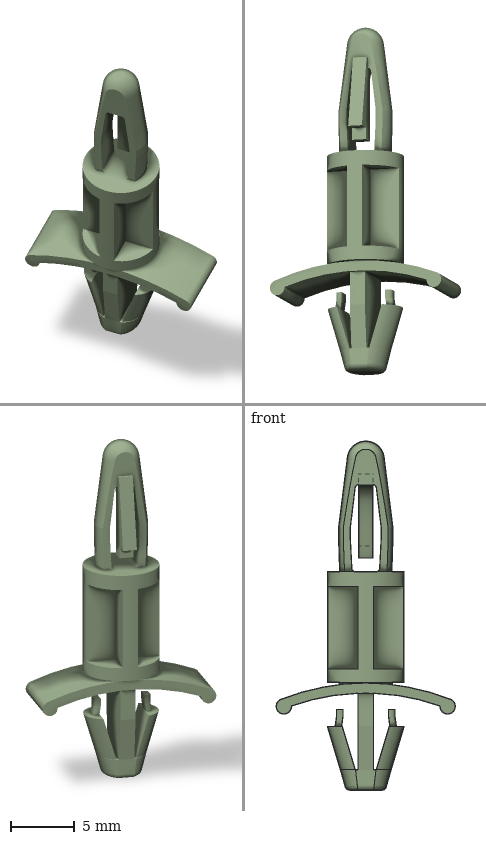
import cadquery as cq
import math

TOTAL_HEIGHT = 27.3
BODY_BOTTOM = 8.44
BODY_TOP = 17.1

BODY_RADIUS = 3.0
UPPER_FLANGE = 1.17
LOWER_FLANGE = 1.06
WEB_THICKNESS = 1.23

POST_THICKNESS = 2.4
POST_FOOT_RADIUS = 2.05
POST_WIDE_RADIUS = 2.13
POST_WIDE_BOTTOM = 19.7
POST_WIDE_TOP = 20.53
DOME_RADIUS = 1.45
DOME_HEIGHT = 1.35
WINDOW_TOP = 23.9
WINDOW_TOP_HALF = 0.8
WINDOW_WIDE_HALF = 1.2
WINDOW_FOOT_HALF = 1.06
WINDOW_ROUND = 0.27

BARB_WIDTH = 1.12
BARB_TOP = 24.73
BARB_LEDGE = 19.08
BARB_BOTTOM = 18.15
BARB_INNER_Y = 0.65
BARB_TOP_Y = 1.53
BARB_TIP_Y = 2.8
BARB_FOOT_Y = 1.75
BARB_ROOT_RADIUS = 1.15

PLATE_LENGTH = 14.0
PLATE_WIDTH = 5.38
PLATE_TOP = 8.38
PLATE_THICKNESS = 0.8
PLATE_OUTER_RADIUS = 18.02
BEAD_RADIUS = 0.6
NECK_RADIUS = 2.07

WEB_HALF_Y = 2.18
PLUG_TOP = 1.6
PLUG_FLAT_Y = 1.77
PLUG_ELLIPSE_HALF_Y = 1.95
PLUG_BOTTOM_HALF_X = 1.53
PLUG_ROUND = 0.38
LEG_TOP = 5.0
LEG_RADIUS = 1.77
LEG_TOP_OUTER_X = 3.0
LEG_TOP_INNER_X = 1.83
LEG_SLOPE = 0.3
STUB_TOP = 6.33
STUB_KNEE = 5.73
STUB_THICKNESS = 0.52
STUB_INNER_X = 1.77
STUB_FOOT_X = 1.88
STUB_WIDTH = 1.12
STUB_ROUND = 0.33

OVERLAP = 0.15


def box_between(x_size, y_size, z_low, z_high):
    """Box centred on the Z axis between two heights."""
    return cq.Workplane("XY").workplane(offset=z_low).rect(x_size, y_size).extrude(z_high - z_low)


def cylinder_between(radius, z_low, z_high):
    """Cylinder on the Z axis between two heights."""
    return cq.Workplane("XY").workplane(offset=z_low).circle(radius).extrude(z_high - z_low)


def make_body():
    web_bottom = BODY_BOTTOM + LOWER_FLANGE
    web_top = BODY_TOP - UPPER_FLANGE
    diameter = 2 * BODY_RADIUS
    webs = box_between(diameter, WEB_THICKNESS, web_bottom, web_top)
    webs = webs.union(box_between(WEB_THICKNESS, diameter, web_bottom, web_top))
    webs = webs.intersect(cylinder_between(BODY_RADIUS, web_bottom, web_top))
    lower = cylinder_between(BODY_RADIUS, BODY_BOTTOM, web_bottom)
    upper = cylinder_between(BODY_RADIUS, web_top, BODY_TOP)
    return lower.union(webs).union(upper)


def make_post():
    dome_base = TOTAL_HEIGHT - DOME_HEIGHT
    sphere_radius = (DOME_RADIUS**2 + DOME_HEIGHT**2) / (2 * DOME_HEIGHT)
    dome_mid = (
        sphere_radius * math.sin(math.pi / 4),
        TOTAL_HEIGHT - sphere_radius * (1 - math.cos(math.pi / 4)),
    )
    post = (
        cq.Workplane("XZ")
        .moveTo(0, BODY_TOP - OVERLAP)
        .lineTo(POST_FOOT_RADIUS, BODY_TOP - OVERLAP)
        .lineTo(POST_FOOT_RADIUS, BODY_TOP)
        .lineTo(POST_WIDE_RADIUS, POST_WIDE_BOTTOM)
        .lineTo(POST_WIDE_RADIUS, POST_WIDE_TOP)
        .lineTo(DOME_RADIUS, dome_base)
        .threePointArc(dome_mid, (0, TOTAL_HEIGHT))
        .close()
        .revolve(360, (0, 0, 0), (0, 1, 0))
    )
    blade = box_between(2 * BODY_RADIUS, POST_THICKNESS, BODY_TOP - OVERLAP, TOTAL_HEIGHT)
    right_side = [
        (WINDOW_FOOT_HALF, BODY_TOP),
        (WINDOW_WIDE_HALF, POST_WIDE_BOTTOM),
        (WINDOW_WIDE_HALF, POST_WIDE_TOP),
        (WINDOW_TOP_HALF, WINDOW_TOP),
    ]
    left_side = [(-x, z) for x, z in reversed(right_side)]
    window = (
        cq.Workplane("XZ")
        .polyline(right_side + left_side)
        .close()
        .extrude(POST_THICKNESS / 2, both=True)
        .edges("(<Z or >Z) and |Y")
        .fillet(WINDOW_ROUND)
    )
    return post.intersect(blade).cut(window)


def make_barb():
    root_y = BARB_INNER_Y - BARB_ROOT_RADIUS
    arc_mid = (
        root_y + BARB_ROOT_RADIUS * math.sin(math.pi / 4),
        WINDOW_TOP - BARB_ROOT_RADIUS * (1 - math.cos(math.pi / 4)),
    )
    return (
        cq.Workplane("YZ")
        .moveTo(root_y, BARB_TOP)
        .lineTo(BARB_TOP_Y, BARB_TOP)
        .lineTo(BARB_TIP_Y, BARB_LEDGE)
        .lineTo(BARB_FOOT_Y, BARB_LEDGE)
        .lineTo(BARB_FOOT_Y, BARB_BOTTOM)
        .lineTo(BARB_INNER_Y, BARB_BOTTOM)
        .lineTo(BARB_INNER_Y, WINDOW_TOP - BARB_ROOT_RADIUS)
        .threePointArc(arc_mid, (root_y, WINDOW_TOP))
        .close()
        .extrude(BARB_WIDTH / 2, both=True)
    )


def make_plate():
    arc_centre_z = PLATE_TOP - PLATE_OUTER_RADIUS
    inner_radius = PLATE_OUTER_RADIUS - PLATE_THICKNESS
    bead_x = PLATE_LENGTH / 2 - BEAD_RADIUS
    bead_z = arc_centre_z + math.sqrt((PLATE_OUTER_RADIUS - BEAD_RADIUS) ** 2 - bead_x**2)
    end_angle = math.asin(bead_x / (PLATE_OUTER_RADIUS - BEAD_RADIUS))

    def arc_point(radius, angle):
        return (radius * math.sin(angle), arc_centre_z + radius * math.cos(angle))

    plate = (
        cq.Workplane("XZ")
        .moveTo(*arc_point(PLATE_OUTER_RADIUS, -end_angle))
        .threePointArc(arc_point(PLATE_OUTER_RADIUS, 0), arc_point(PLATE_OUTER_RADIUS, end_angle))
        .lineTo(*arc_point(inner_radius, end_angle))
        .threePointArc(arc_point(inner_radius, 0), arc_point(inner_radius, -end_angle))
        .close()
        .extrude(PLATE_WIDTH / 2, both=True)
    )
    for side in (-1, 1):
        bead = cq.Workplane("XZ").center(side * bead_x, bead_z).circle(BEAD_RADIUS)
        plate = plate.union(bead.extrude(PLATE_WIDTH / 2, both=True))
    neck = cylinder_between(NECK_RADIUS, PLATE_TOP - PLATE_THICKNESS / 2, BODY_BOTTOM + OVERLAP)
    return plate.union(neck)


def make_leg():
    """Leg on the +X side: a slanted round bar with a parallel flat inner face."""
    top_centre_x = LEG_TOP_OUTER_X - LEG_RADIUS
    shift = LEG_SLOPE * (LEG_TOP - PLUG_TOP)
    bar = (
        cq.Workplane("XY")
        .workplane(offset=PLUG_TOP)
        .center(top_centre_x - shift, 0)
        .circle(LEG_RADIUS)
        .workplane(offset=LEG_TOP - PLUG_TOP)
        .center(shift, 0)
        .circle(LEG_RADIUS)
        .loft(ruled=True)
    )
    outer_side = (
        cq.Workplane("XZ")
        .polyline([
            (LEG_TOP_INNER_X - shift, PLUG_TOP),
            (LEG_TOP_INNER_X, LEG_TOP),
            (2 * LEG_TOP_OUTER_X, LEG_TOP),
            (2 * LEG_TOP_OUTER_X, PLUG_TOP),
        ])
        .close()
        .extrude(2 * LEG_RADIUS, both=True)
    )
    return bar.intersect(outer_side)


def make_stub():
    """Upright tab on top of the +X leg, with its outer corners rounded."""
    return (
        cq.Workplane("XZ")
        .polyline([
            (STUB_FOOT_X, LEG_TOP - OVERLAP),
            (STUB_FOOT_X, LEG_TOP),
            (STUB_INNER_X, STUB_KNEE),
            (STUB_INNER_X, STUB_TOP),
            (STUB_INNER_X + STUB_THICKNESS, STUB_TOP),
            (STUB_INNER_X + STUB_THICKNESS, STUB_KNEE),
            (STUB_FOOT_X + STUB_THICKNESS, LEG_TOP),
            (STUB_FOOT_X + STUB_THICKNESS, LEG_TOP - OVERLAP),
        ])
        .close()
        .extrude(STUB_WIDTH / 2, both=True)
        .edges(cq.selectors.BoxSelector(
            (STUB_INNER_X + STUB_THICKNESS / 2, -STUB_WIDTH, LEG_TOP - OVERLAP),
            (LEG_TOP_OUTER_X, STUB_WIDTH, STUB_TOP),
        ))
        .edges("not(|X or |Y)")
        .fillet(STUB_ROUND)
    )


def make_plug():
    """Tapered elliptical foot with a flat on each Y side and a rounded bottom rim."""
    plug = (
        cq.Workplane("XY")
        .ellipse(PLUG_BOTTOM_HALF_X, PLUG_ELLIPSE_HALF_Y)
        .workplane(offset=PLUG_TOP)
        .ellipse(LEG_TOP_OUTER_X - LEG_SLOPE * (LEG_TOP - PLUG_TOP), PLUG_ELLIPSE_HALF_Y)
        .loft(ruled=True)
    )
    plug = plug.intersect(box_between(2 * BODY_RADIUS, 2 * PLUG_FLAT_Y, 0, PLUG_TOP))
    return plug.faces("<Z").edges().fillet(PLUG_ROUND)


def make_anchor():
    web_top = PLATE_TOP - PLATE_THICKNESS / 2
    right_side = [
        (PLUG_FLAT_Y, PLUG_TOP),
        (WEB_HALF_Y, LEG_TOP),
        (WEB_HALF_Y, web_top),
    ]
    left_side = [(-y, z) for y, z in reversed(right_side)]
    web = (
        cq.Workplane("YZ")
        .polyline(right_side + left_side)
        .close()
        .extrude(WEB_THICKNESS / 2, both=True)
    )
    leg = make_leg()
    stub = make_stub()
    anchor = make_plug().union(web)
    for half in (leg, leg.mirror("YZ"), stub, stub.mirror("YZ")):
        anchor = anchor.union(half)
    return anchor


result = (
    make_body()
    .union(make_post())
    .union(make_barb())
    .union(make_plate())
    .union(make_anchor())
)